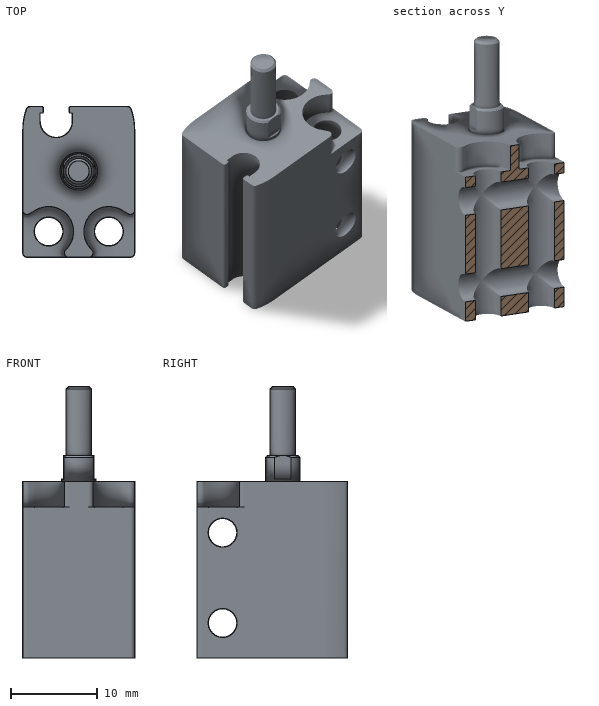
import cadquery as cq
import math

width = 13.0
depth = 17.5
total_height = 31.5
block_height = 20.5
front_corner_radius = 0.5
flank_radius = 7.0
flank_length = 2.68
back_corner_radius = 0.5

hole_diameter = 3.3
hole_x = 3.5
hole_y = 3.0
side_hole_heights = (4.05, 14.55)
pocket_diameter = 5.8
pocket_depth = 3.0
pocket_side_angle = 120.0
pocket_front_angle = -42.0
nose_radius = 0.5
pocket_overrun = 2.02

slot_x = -2.6
slot_width = 3.72
slot_depth = 3.6
mouth_width = 3.0
lip_depth = 0.8
lip_radius = 0.2

rod_y = 10.0
rod_diameter = 3.0
rod_chamfer = 0.28
collar_diameter = 4.0
collar_height = 3.0
collar_chamfer = 0.22
flat_spacing = 3.5
flat_start = 0.25
socket_depth = 3.0
socket_chamfer = 0.2


def make_block():
    """Rectangular body whose sides curve in tangentially towards the back."""
    half = width / 2
    flank_start = depth - flank_length

    def inset(run):
        return flank_radius - math.sqrt(flank_radius ** 2 - run ** 2)

    back_half = half - inset(flank_length)
    mid_half = half - inset(flank_length / 2)
    mid_y = flank_start + flank_length / 2
    outline = (
        cq.Workplane("XY")
        .moveTo(-half, 0)
        .lineTo(half, 0)
        .lineTo(half, flank_start)
        .threePointArc((mid_half, mid_y), (back_half, depth))
        .lineTo(-back_half, depth)
        .threePointArc((-mid_half, mid_y), (-half, flank_start))
        .close()
    )
    block = outline.extrude(block_height)
    block = block.faces("<Y").edges("|Z").fillet(front_corner_radius)
    return block.faces(">Y").edges("|Z").fillet(back_corner_radius)


def make_slot():
    """Round-bottomed slot narrowed at the back by two rounded lips."""
    radius = slot_width / 2
    center_y = depth - slot_depth + radius
    lip_y = depth - lip_depth
    channel = (
        cq.Workplane("XY")
        .moveTo(slot_x - radius, lip_y)
        .lineTo(slot_x - radius, center_y)
        .threePointArc((slot_x, center_y - radius), (slot_x + radius, center_y))
        .lineTo(slot_x + radius, lip_y)
        .close()
        .extrude(block_height)
    )
    mouth = (
        cq.Workplane("XY")
        .center(slot_x, depth - lip_depth / 2)
        .rect(mouth_width, lip_depth)
        .extrude(block_height)
    )
    return channel.union(mouth)


def lip_edges(block):
    """Vertical edges at the two corners of each slot lip."""
    reach = mouth_width / 2
    margin = lip_radius / 6
    selector = cq.selectors.BoxSelector(
        (slot_x - reach - margin, depth - lip_depth - margin, 0),
        (slot_x + reach + margin, depth + margin, block_height),
    )
    return block.edges("|Z").edges(selector)


def make_left_pocket():
    """Left pocket and its wall ends: an arc about the hole, running out along two tangents."""
    radius = pocket_diameter / 2
    half = width / 2

    def on_arc(angle):
        turn = math.radians(angle)
        return (-hole_x + radius * math.cos(turn), hole_y + radius * math.sin(turn))

    side_x, side_y = on_arc(pocket_side_angle)
    front_x, front_y = on_arc(pocket_front_angle)
    mid_angle = (pocket_side_angle + pocket_front_angle) / 2
    side_slope = -1 / math.tan(math.radians(pocket_side_angle))
    front_slope = -1 / math.tan(math.radians(pocket_front_angle))
    wall_y = side_y - (side_x + half) * side_slope
    wall_x = front_x - front_y / front_slope
    outline = (
        cq.Workplane("XY", origin=(0, 0, block_height - pocket_depth))
        .moveTo(side_x, side_y)
        .threePointArc(on_arc(mid_angle), (front_x, front_y))
        .lineTo(wall_x, 0)
        .lineTo(wall_x, -pocket_overrun)
        .lineTo(-half - pocket_overrun, -pocket_overrun)
        .lineTo(-half - pocket_overrun, wall_y)
        .lineTo(-half, wall_y)
        .close()
    )
    return outline.extrude(pocket_depth), wall_x, wall_y


def cut_pockets(block):
    """Cut both corner pockets and round the noses they leave behind."""
    pocket, wall_x, wall_y = make_left_pocket()
    block = block.cut(pocket).cut(pocket.mirror("YZ"))
    middle = block_height - pocket_depth / 2
    for side in (-1, 1):
        for x, y in ((-width / 2, wall_y), (wall_x, 0)):
            nose = cq.selectors.NearestToPointSelector((-side * x, y, middle))
            block = block.edges("|Z").edges(nose).fillet(nose_radius)
    return block


def cut_mounting_holes(block):
    """Two vertical through holes crossed by two holes along X."""
    vertical = (
        cq.Workplane("XY")
        .pushPoints([(-hole_x, hole_y), (hole_x, hole_y)])
        .circle(hole_diameter / 2)
        .extrude(block_height)
    )
    across = (
        cq.Workplane("YZ", origin=(-width / 2, 0, 0))
        .pushPoints([(hole_y, z) for z in side_hole_heights])
        .circle(hole_diameter / 2)
        .extrude(width)
    )
    return block.cut(vertical).cut(across)


def cut_socket(block):
    """Blind socket for the rod, with a chamfered rim."""
    socket = (
        cq.Workplane("XY", origin=(0, rod_y, block_height - socket_depth))
        .circle(collar_diameter / 2)
        .extrude(socket_depth)
    )
    rim = (
        cq.Workplane("XY", origin=(0, rod_y, block_height - socket_chamfer))
        .circle(collar_diameter / 2)
        .workplane(offset=socket_chamfer)
        .circle(collar_diameter / 2 + socket_chamfer)
        .loft()
    )
    return block.cut(socket).cut(rim)


def make_housing():
    block = make_block().cut(make_slot())
    block = lip_edges(block).fillet(lip_radius)
    block = cut_pockets(block)
    block = cut_mounting_holes(block)
    return cut_socket(block)


def make_rod():
    """Rod on a collar that has two wrench flats facing -X and +X."""
    collar = (
        cq.Workplane("XY", origin=(0, rod_y, block_height - socket_depth))
        .circle(collar_diameter / 2)
        .extrude(socket_depth + collar_height)
        .faces(">Z")
        .chamfer(collar_chamfer)
    )
    flat_cut = (
        cq.Workplane("XY", origin=(0, rod_y, block_height + flat_start))
        .rect(2 * collar_diameter, collar_diameter)
        .rect(flat_spacing, collar_diameter)
        .extrude(collar_height - flat_start)
    )
    shaft = (
        cq.Workplane("XY", origin=(0, rod_y, block_height + collar_height))
        .circle(rod_diameter / 2)
        .extrude(total_height - block_height - collar_height)
        .faces(">Z")
        .chamfer(rod_chamfer)
    )
    return collar.cut(flat_cut).union(shaft)


housing = make_housing()
rod = make_rod()
result = cq.Compound.makeCompound([housing.val(), rod.val()])